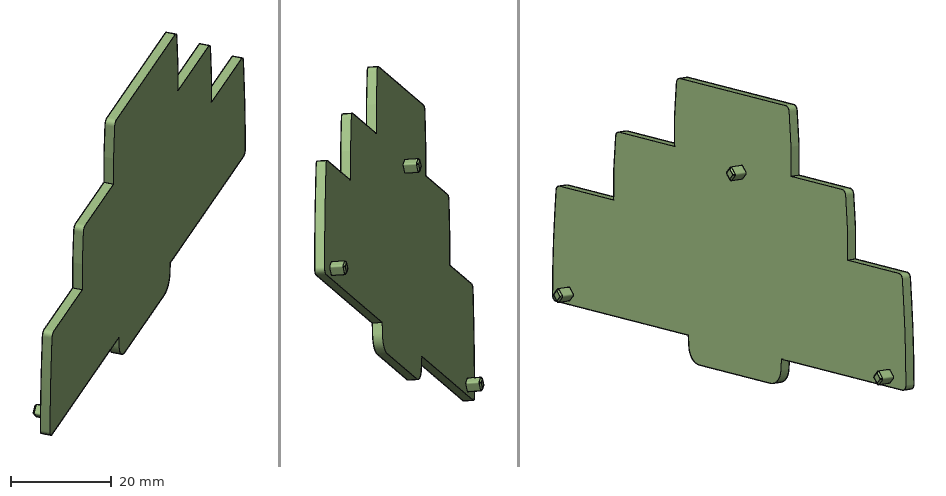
import cadquery as cq
import math

plate_thickness = 2.0
length = 114.1
height = 57.0
tab_depth = 5.5
tier_rise = 14.0
flank_angle = 5.0
corner_radius = 1.1

base_edge = length / 2
middle_left, middle_right = -38.2, 37.3
upper_left, upper_right = -20.0, 17.7
taper_height = 8.1
base_taper_height = 5.5

tab_width = 30.1
tab_center = -1.8
tab_radius = 3.4

peg_diagonal = 3.1
peg_corner_radius = 0.3
peg_length = 3.1
peg_chamfer = 0.3
outer_peg_y = 51.7
outer_peg_z = 7.6
upper_peg_y = -4.1
upper_peg_z = 41.3

base_top = height - 2 * tier_rise
middle_top = height - tier_rise
lean = math.tan(math.radians(flank_angle))


def tier(left, right, bottom, top):
    """Tier with upright lower flanks, tapered upper flanks and rounded top corners."""
    inset = taper_height * lean
    taper_start = top - taper_height
    outline = [
        (left, bottom),
        (right, bottom),
        (right, taper_start),
        (right - inset, top),
        (left + inset, top),
        (left, taper_start),
    ]
    body = cq.Workplane("YZ").polyline(outline).close().extrude(plate_thickness)
    return body.edges("|X and >Z").fillet(corner_radius)


def base_tier():
    """Widest tier: each flank curves gently from upright into the taper."""
    bow_bottom = tab_depth + corner_radius
    bow_top = base_top - base_taper_height
    bow_radius = (bow_top - bow_bottom) / math.sin(math.radians(flank_angle))
    half_angle = math.radians(flank_angle / 2)
    bow_mid_y = base_edge - bow_radius * (1 - math.cos(half_angle))
    bow_mid_z = bow_bottom + bow_radius * math.sin(half_angle)
    bow_end_y = base_edge - (bow_top - bow_bottom) * math.tan(half_angle)
    top_y = bow_end_y - base_taper_height * lean
    bottom_y = base_edge - corner_radius
    arc_shift = corner_radius * (1 - math.sqrt(0.5))
    corner_mid_y = base_edge - arc_shift
    corner_mid_z = tab_depth + arc_shift
    body = (
        cq.Workplane("YZ")
        .moveTo(-bottom_y, tab_depth)
        .lineTo(bottom_y, tab_depth)
        .threePointArc((corner_mid_y, corner_mid_z), (base_edge, bow_bottom))
        .threePointArc((bow_mid_y, bow_mid_z), (bow_end_y, bow_top))
        .lineTo(top_y, base_top)
        .lineTo(-top_y, base_top)
        .lineTo(-bow_end_y, bow_top)
        .threePointArc((-bow_mid_y, bow_mid_z), (-base_edge, bow_bottom))
        .threePointArc((-corner_mid_y, corner_mid_z), (-bottom_y, tab_depth))
        .close()
        .extrude(plate_thickness)
    )
    return body.edges("|X and >Z").fillet(corner_radius)


def bottom_tab():
    """Tab below the base tier, narrowing downwards to large rounded corners."""
    half_top = tab_width / 2
    half_bottom = half_top - tab_depth * lean
    outline = [
        (tab_center - half_top, tab_depth),
        (tab_center - half_bottom, 0),
        (tab_center + half_bottom, 0),
        (tab_center + half_top, tab_depth),
    ]
    body = cq.Workplane("YZ").polyline(outline).close().extrude(plate_thickness)
    return body.edges("|X and <Z").fillet(tab_radius)


def peg(y, z):
    """Square peg standing on a corner, with rounded long edges and a chamfered free end."""
    square_sides = 4
    body = cq.Workplane("YZ").center(y, z).polygon(square_sides, peg_diagonal).extrude(-peg_length)
    body = body.edges("|X").fillet(peg_corner_radius)
    return body.faces("<X").chamfer(peg_chamfer)


result = (
    base_tier()
    .union(tier(middle_left, middle_right, base_top, middle_top))
    .union(tier(upper_left, upper_right, middle_top, height))
    .union(bottom_tab())
)

peg_positions = [
    (-outer_peg_y, outer_peg_z),
    (outer_peg_y, outer_peg_z),
    (upper_peg_y, upper_peg_z),
]
for peg_y, peg_z in peg_positions:
    result = result.union(peg(peg_y, peg_z))